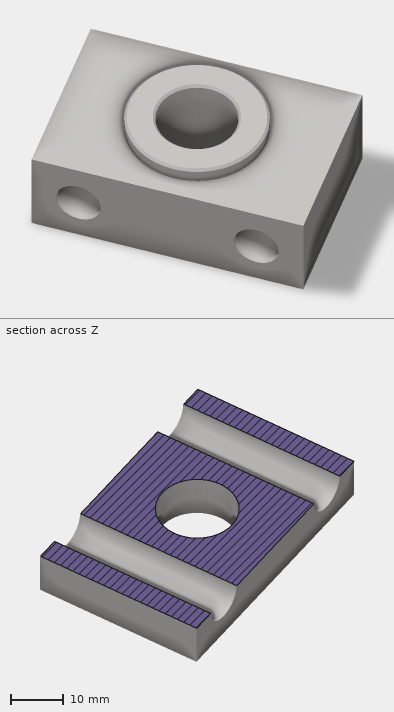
import cadquery as cq

block_length = 55.0
block_width = 36.0
block_height = 18.0

boss_diameter = 28.0
boss_height = 3.0
bore_diameter = 16.0
edge_chamfer = 0.5

cross_hole_diameter = 9.0
cross_hole_spacing = 36.0

total_height = block_height + boss_height


def make_block():
    return cq.Workplane("XY").box(
        block_length, block_width, block_height, centered=(True, True, False)
    )


def make_boss():
    boss = cq.Workplane("XY").workplane(offset=block_height)
    boss = boss.circle(boss_diameter / 2).extrude(boss_height)
    return boss.faces(">Z").edges().chamfer(edge_chamfer)


def make_bore():
    """Vertical bore with a chamfered mouth at the top of the boss."""
    bore_radius = bore_diameter / 2
    bore = cq.Workplane("XY").circle(bore_radius).extrude(total_height)
    mouth = cq.Solid.makeCone(
        bore_radius,
        bore_radius + edge_chamfer,
        edge_chamfer,
        pnt=cq.Vector(0, 0, total_height - edge_chamfer),
    )
    return bore.union(cq.Workplane(mouth))


def make_cross_holes():
    hole_offset = cross_hole_spacing / 2
    return (
        cq.Workplane("XZ")
        .pushPoints([(-hole_offset, block_height / 2), (hole_offset, block_height / 2)])
        .circle(cross_hole_diameter / 2)
        .extrude(block_width / 2, both=True)
    )


result = make_block().union(make_boss()).cut(make_bore()).cut(make_cross_holes())